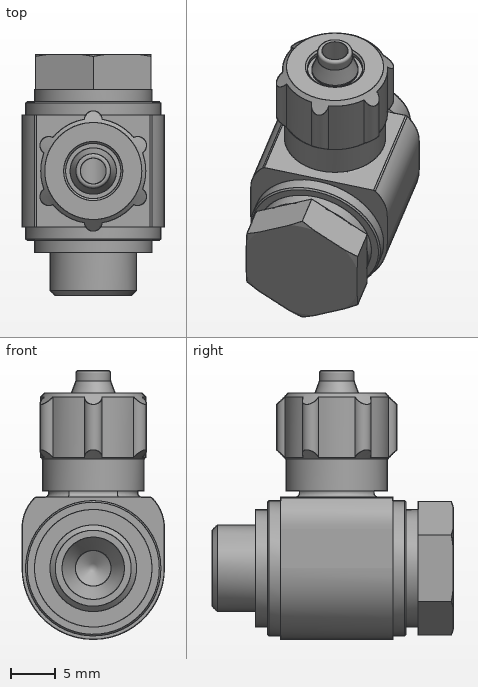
import cadquery as cq
import math


body_radius = 8.0
body_half_length = 6.3
body_top = 8.0
body_flat_half_width = 6.4
edge_break_width = 0.2
edge_break_drop = 0.1
shoulder_radius = 5.55
shoulder_start = 4.37

ring_diameter = 15.2
ring_half_span = 7.8
ring_edge_break = 0.18
collar_diameter = 13.2
collar_half_span = 9.15

hex_across_flats = 13.0
hex_end = 13.1
hex_end_face_radius = 6.8
hex_chamfer_depth = 0.23

spigot_diameter = 9.73
spigot_end = -14.0
spigot_chamfer = 0.6
bore_diameter = 4.0
bore_mouth_diameter = 7.0
bore_mouth_depth = 2.5
bore_end = 2.0
drill_tip_angle = 118.0

neck_diameter = 10.0
neck_across_flats = 8.4
neck_foot_fillet = 0.45

nut_bottom = 8.7
nut_skirt_diameter = 11.4
grip_bottom = 12.25
grip_top = 19.7
grip_diameter = 11.8
grip_top_face_radius = 5.45
rib_count = 6
rib_radius = 1.0
rib_pitch_radius = 5.75
nut_hole_diameter = 6.2
nut_hole_chamfer = 0.22
nut_hole_floor = 19.1

stem_top = 22.2
stem_tip_diameter = 3.9
stem_base_diameter = 5.2
stem_cone_top = 21.05
stem_cone_bottom = 19.3
stem_tip_rounding = 0.3
stem_bore_diameter = 2.9


def cylinder_along_y(diameter, y_start, y_end):
    disc = cq.Workplane("XZ", origin=(0, y_start, 0)).circle(diameter / 2)
    return disc.extrude(y_start - y_end)


def cylinder_along_z(diameter, z_start, z_end):
    disc = cq.Workplane("XY", origin=(0, 0, z_start)).circle(diameter / 2)
    return disc.extrude(z_end - z_start)


def revolved_about_z(points):
    """Revolve a closed (radius, z) outline about the Z axis."""
    return cq.Workplane("XZ").polyline(points).close().revolve(360, (0, 0), (0, 1))


def revolved_about_y(points):
    """Revolve a closed (radius, y) outline about the Y axis."""
    return cq.Workplane("XY").polyline(points).close().revolve(360, (0, 0), (0, 1))


def make_body():
    corner_x = body_flat_half_width + edge_break_width
    corner_z = body_top - edge_break_drop
    corner = (corner_x, corner_z)
    centre_x = body_radius - shoulder_radius
    half_sweep = math.atan2(corner_z - shoulder_start, corner_x - centre_x) / 2
    mid_x = centre_x + shoulder_radius * math.cos(half_sweep)
    mid_z = shoulder_start + shoulder_radius * math.sin(half_sweep)
    profile = (
        cq.Workplane("XZ", origin=(0, body_half_length, 0))
        .moveTo(-body_radius, 0)
        .threePointArc((0, -body_radius), (body_radius, 0))
        .lineTo(body_radius, shoulder_start)
        .threePointArc((mid_x, mid_z), corner)
        .lineTo(body_flat_half_width, body_top)
        .lineTo(-body_flat_half_width, body_top)
        .lineTo(-corner_x, corner_z)
        .threePointArc((-mid_x, mid_z), (-body_radius, shoulder_start))
        .close()
    )
    return profile.extrude(2 * body_half_length)


def make_rings_and_collars():
    rings = cylinder_along_y(ring_diameter, -ring_half_span, ring_half_span)
    rings = rings.faces("<Y or >Y").edges().chamfer(ring_edge_break)
    collars = cylinder_along_y(collar_diameter, -collar_half_span, collar_half_span)
    return rings.union(collars)


def make_bolt_head():
    corner_radius = hex_across_flats / math.sqrt(3)
    head = (
        cq.Workplane("XZ", origin=(0, collar_half_span, 0))
        .transformed(rotate=(0, 0, 90))
        .polygon(6, 2 * corner_radius)
        .extrude(collar_half_span - hex_end)
    )
    chamfer_envelope = revolved_about_y([
        (0, collar_half_span),
        (corner_radius, collar_half_span),
        (corner_radius, hex_end - hex_chamfer_depth),
        (hex_end_face_radius, hex_end),
        (0, hex_end),
    ])
    return head.intersect(chamfer_envelope)


def make_spigot():
    spigot = cylinder_along_y(spigot_diameter, spigot_end, -collar_half_span)
    return spigot.faces("<Y").edges().chamfer(spigot_chamfer)


def make_main_bore():
    bore_radius = bore_diameter / 2
    tip_length = bore_radius / math.tan(math.radians(drill_tip_angle / 2))
    return revolved_about_y([
        (0, spigot_end),
        (bore_mouth_diameter / 2, spigot_end),
        (bore_radius, spigot_end + bore_mouth_depth),
        (bore_radius, bore_end),
        (0, bore_end + tip_length),
    ])


def make_neck():
    """Round neck with two flats, ready to be filleted onto the body."""
    neck = cylinder_along_z(neck_diameter, 0, nut_bottom)
    flats = cq.Workplane("XY").rect(neck_diameter, neck_across_flats).extrude(nut_bottom)
    return neck.intersect(flats)


def fillet_neck_foot(part):
    """Round the foot of the neck where it meets the flat seat of the body."""
    reach = neck_diameter / 2 + neck_foot_fillet
    tolerance = 0.01
    seat_zone = cq.selectors.BoxSelector(
        (-reach, -neck_diameter / 2, body_top - tolerance),
        (reach, neck_diameter / 2, body_top + tolerance),
    )
    return part.edges(seat_zone).fillet(neck_foot_fillet)


def make_nut():
    skirt_radius = nut_skirt_diameter / 2
    rib_reach = rib_pitch_radius + rib_radius
    skirt = cylinder_along_z(nut_skirt_diameter, nut_bottom, grip_bottom)
    grip = cylinder_along_z(grip_diameter, grip_bottom, grip_top)
    ribs = (
        cq.Workplane("XY", origin=(0, 0, grip_bottom))
        .polarArray(rib_pitch_radius, 90, 360, rib_count)
        .circle(rib_radius)
        .extrude(grip_top - grip_bottom)
    )
    chamfer_envelope = revolved_about_z([
        (0, grip_bottom),
        (skirt_radius, grip_bottom),
        (rib_reach, grip_bottom + rib_reach - skirt_radius),
        (rib_reach, grip_top - rib_reach + grip_top_face_radius),
        (grip_top_face_radius, grip_top),
        (0, grip_top),
    ])
    nut = skirt.union(grip.union(ribs).intersect(chamfer_envelope))
    nut = nut.cut(cylinder_along_z(nut_hole_diameter, nut_hole_floor, grip_top))
    return nut.edges(cq.selectors.RadiusNthSelector(0)).edges(">Z").chamfer(nut_hole_chamfer)


def make_stem():
    tip_radius = stem_tip_diameter / 2
    base_radius = stem_base_diameter / 2
    stem = revolved_about_z([
        (0, nut_hole_floor),
        (base_radius, nut_hole_floor),
        (base_radius, stem_cone_bottom),
        (tip_radius, stem_cone_top),
        (tip_radius, stem_top),
        (0, stem_top),
    ])
    return stem.faces(">Z").edges().fillet(stem_tip_rounding)


result = make_body().union(make_neck())
result = fillet_neck_foot(result)
for piece in (make_rings_and_collars(), make_bolt_head(), make_spigot(), make_nut(), make_stem()):
    result = result.union(piece)
result = result.cut(make_main_bore())
result = result.cut(cylinder_along_z(stem_bore_diameter, 0, stem_top))